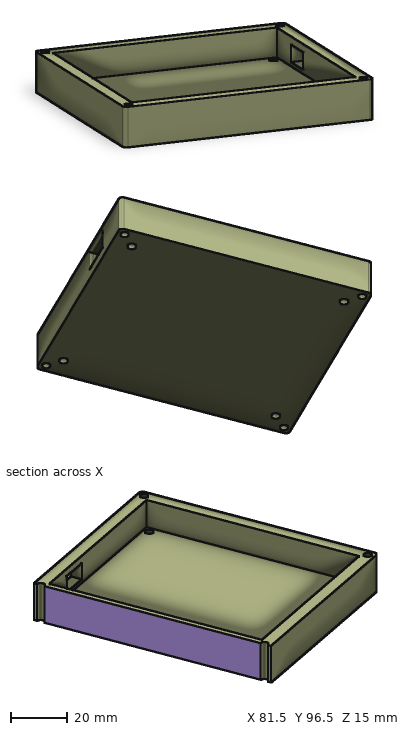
import cadquery as cq

length_x = 81.5
width_y = 96.5
height = 15.0
corner_radius = 1.5

wall = 5.0
floor_thickness = 4.0
cavity_x = length_x - 2 * wall
cavity_y = width_y - 2 * wall
cavity_depth = height - floor_thickness

rim_hole_diameter = 2.9
rim_hole_inset = 2.75

floor_hole_diameter = 3.1
floor_hole_low_inset = 7.75
floor_hole_high_inset = 7.5

window_width = 11.0
window_height = 6.5
window_center_x = -17.4
window_sill = 1.5
window_bottom = floor_thickness + window_sill
mouth_radius = 1.0
selection_margin = 0.1


def tray_body():
    """Block with rounded upright edges, hollowed from the top."""
    block = cq.Workplane("XY").box(length_x, width_y, height, centered=(True, True, False))
    block = block.edges("|Z").fillet(corner_radius)
    cavity = (
        cq.Workplane("XY", origin=(0, 0, floor_thickness))
        .box(cavity_x, cavity_y, cavity_depth, centered=(True, True, False))
    )
    return block.cut(cavity)


def corner_holes(diameter, low_inset, high_inset):
    """Four upright cylinders, inset from the -X/-Y sides and from the +X/+Y sides."""
    xs = (low_inset - length_x / 2, length_x / 2 - high_inset)
    ys = (low_inset - width_y / 2, width_y / 2 - high_inset)
    centers = [(x, y) for x in xs for y in ys]
    return cq.Workplane("XY").pushPoints(centers).circle(diameter / 2).extrude(height)


def connector_window():
    """Rectangular opening spanning the thickness of the +Y wall."""
    return (
        cq.Workplane("XY", origin=(window_center_x, cavity_y / 2, window_bottom))
        .box(window_width, wall, window_height, centered=(True, False, False))
    )


def round_window_mouth(tray):
    """Fillet the four edges where the window meets the outer +Y face."""
    half_span = window_width / 2 + selection_margin
    mouth = cq.selectors.BoxSelector(
        (
            window_center_x - half_span,
            width_y / 2 - selection_margin,
            window_bottom - selection_margin,
        ),
        (
            window_center_x + half_span,
            width_y / 2 + selection_margin,
            window_bottom + window_height + selection_margin,
        ),
    )
    return tray.edges(mouth).fillet(mouth_radius)


tray = tray_body()
tray = tray.cut(corner_holes(rim_hole_diameter, rim_hole_inset, rim_hole_inset))
tray = tray.cut(corner_holes(floor_hole_diameter, floor_hole_low_inset, floor_hole_high_inset))
tray = tray.cut(connector_window())
result = round_window_mouth(tray)